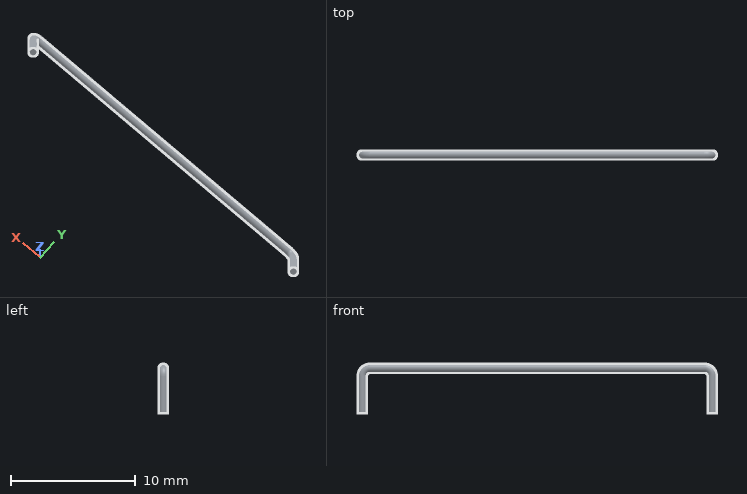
import cadquery as cq

wire_diameter = 0.75
leg_spacing = 28.0
overall_height = 3.98
outer_bend_radius = 1.0

wire_radius = wire_diameter / 2
bend_radius = outer_bend_radius - wire_radius
leg_x = leg_spacing / 2
span_z = overall_height - wire_radius
bend_start_z = span_z - bend_radius
bend_end_x = leg_x - bend_radius


def wire_axis():
    """Centre line of the wire, from the left leg tip to the right leg tip."""
    return (
        cq.Workplane("XZ")
        .moveTo(-leg_x, 0)
        .lineTo(-leg_x, bend_start_z)
        .tangentArcPoint((-bend_end_x, span_z), relative=False)
        .lineTo(bend_end_x, span_z)
        .tangentArcPoint((leg_x, bend_start_z), relative=False)
        .lineTo(leg_x, 0)
    )


result = cq.Workplane("XY").center(-leg_x, 0).circle(wire_radius).sweep(wire_axis())